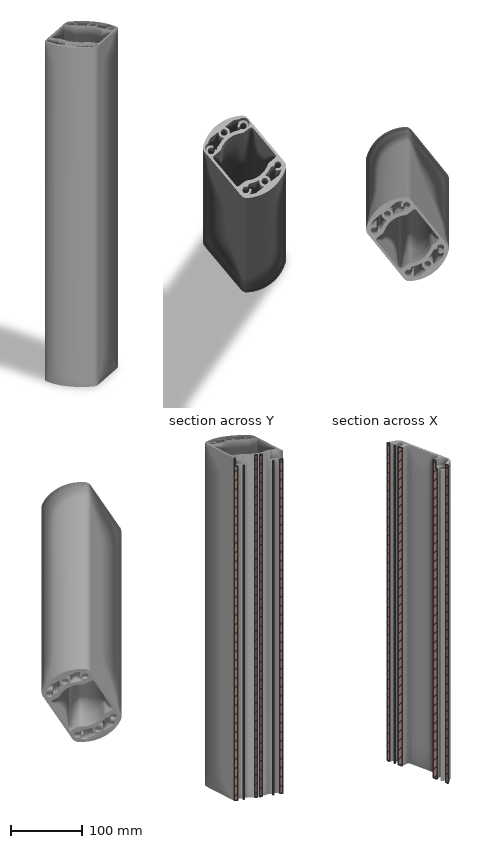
import cadquery as cq
import math

LENGTH = 500.0
OUTER_RADIUS = 60.0
WIDTH = 78.0
OUTER_CORNER_RADIUS = 10.0

SIDE_WALL = 3.5
CHAMBER_WIDTH = WIDTH - 2 * SIDE_WALL
CHAMBER_HALF_HEIGHT = 28.0
CHAMBER_CORNER_RADIUS = 3.0
CHAMBER_ARC_RADIUS = 34.5
CHAMBER_BLEND_RADIUS = 10.0

WEB_THICKNESS = 5.0
POCKET_INNER_RADIUS = CHAMBER_ARC_RADIUS + WEB_THICKNESS
OUTER_WALL = 5.0
POCKET_OUTER_RADIUS = OUTER_RADIUS - OUTER_WALL
POCKET_FLOOR_Y = 35.0
POCKET_ROOF_Y = 51.0
POCKET_HALF_WIDTH = 28.5

SCREW_DIAMETER = 9.5
SCREW_RING_DIAMETER = 16.0
CENTER_SCREW_Y = 45.5
CORNER_SCREW_X = 29.0
CORNER_SCREW_Y = 38.5
SLOT_WIDTH = 4.5
LIP_RADIUS = 1.25

COUNTERBORE_DIAMETER = 17.0
COUNTERBORE_DEPTH = 12.0


def cylinder(x, y, radius):
    """Full-length cylinder along Z."""
    return cq.Workplane("XY").center(x, y).circle(radius).extrude(LENGTH)


def block(x_min, x_max, y_min, y_max):
    """Full-length rectangular bar given by its X and Y limits."""
    bar = cq.Workplane("XY").box(x_max - x_min, y_max - y_min, LENGTH, centered=False)
    return bar.translate((x_min, y_min, 0))


def outer_body():
    half_width = WIDTH / 2
    flats = block(-half_width, half_width, -OUTER_RADIUS, OUTER_RADIUS)
    body = cylinder(0, 0, OUTER_RADIUS).intersect(flats)
    corner_y = math.sqrt(OUTER_RADIUS**2 - half_width**2)
    corners = [(x, y, LENGTH / 2) for x in (-half_width, half_width) for y in (-corner_y, corner_y)]
    for corner in corners:
        body = body.edges(cq.NearestToPointSelector(corner)).fillet(OUTER_CORNER_RADIUS)
    return body


def chamber():
    """Rectangular void widened at both ends by a round bulge."""
    half_width = CHAMBER_WIDTH / 2
    rectangle = block(-half_width, half_width, -CHAMBER_HALF_HEIGHT, CHAMBER_HALF_HEIGHT)
    rectangle = rectangle.edges("|Z").fillet(CHAMBER_CORNER_RADIUS)
    bulge_x = math.sqrt(CHAMBER_ARC_RADIUS**2 - CHAMBER_HALF_HEIGHT**2)
    bulge = cylinder(0, 0, CHAMBER_ARC_RADIUS)
    bulge = bulge.intersect(block(-bulge_x, bulge_x, -OUTER_RADIUS, OUTER_RADIUS))
    void = rectangle.union(bulge)
    for x in (-bulge_x, bulge_x):
        for y in (-CHAMBER_HALF_HEIGHT, CHAMBER_HALF_HEIGHT):
            junction = cq.NearestToPointSelector((x, y, LENGTH / 2))
            void = void.edges(junction).fillet(CHAMBER_BLEND_RADIUS)
    return void


def slotted_ring(side):
    """Ring around a corner screw channel, open towards the Y axis, with rounded lips."""
    x = side * CORNER_SCREW_X
    ring_radius = SCREW_RING_DIAMETER / 2
    ring = cylinder(x, CORNER_SCREW_Y, ring_radius)
    ring = ring.cut(cylinder(x, CORNER_SCREW_Y, SCREW_DIAMETER / 2))
    slot_x = sorted((0, x))
    half_slot = SLOT_WIDTH / 2
    ring = ring.cut(block(*slot_x, CORNER_SCREW_Y - half_slot, CORNER_SCREW_Y + half_slot))
    return ring.edges("|Z").fillet(LIP_RADIUS)


def end_pockets():
    """Hollow regions of the +Y end: the pocket and its three screw channels."""
    void = cylinder(0, 0, POCKET_OUTER_RADIUS).cut(cylinder(0, 0, POCKET_INNER_RADIUS))
    void = void.intersect(block(-POCKET_HALF_WIDTH, POCKET_HALF_WIDTH, POCKET_FLOOR_Y, POCKET_ROOF_Y))
    void = void.cut(cylinder(0, CENTER_SCREW_Y, SCREW_RING_DIAMETER / 2))
    void = void.union(cylinder(0, CENTER_SCREW_Y, SCREW_DIAMETER / 2))
    for side in (-1, 1):
        x = side * CORNER_SCREW_X
        void = void.union(cylinder(x, CORNER_SCREW_Y, SCREW_DIAMETER / 2))
        void = void.cut(slotted_ring(side))
    return void


def counterbores():
    places = [(side * CORNER_SCREW_X, -CORNER_SCREW_Y) for side in (-1, 1)]
    tools = cq.Workplane("XY", origin=(0, 0, LENGTH - COUNTERBORE_DEPTH))
    return tools.pushPoints(places).circle(COUNTERBORE_DIAMETER / 2).extrude(COUNTERBORE_DEPTH)


pockets = end_pockets()
profile = outer_body().cut(chamber()).cut(pockets).cut(pockets.mirror("XZ"))
result = profile.cut(counterbores())